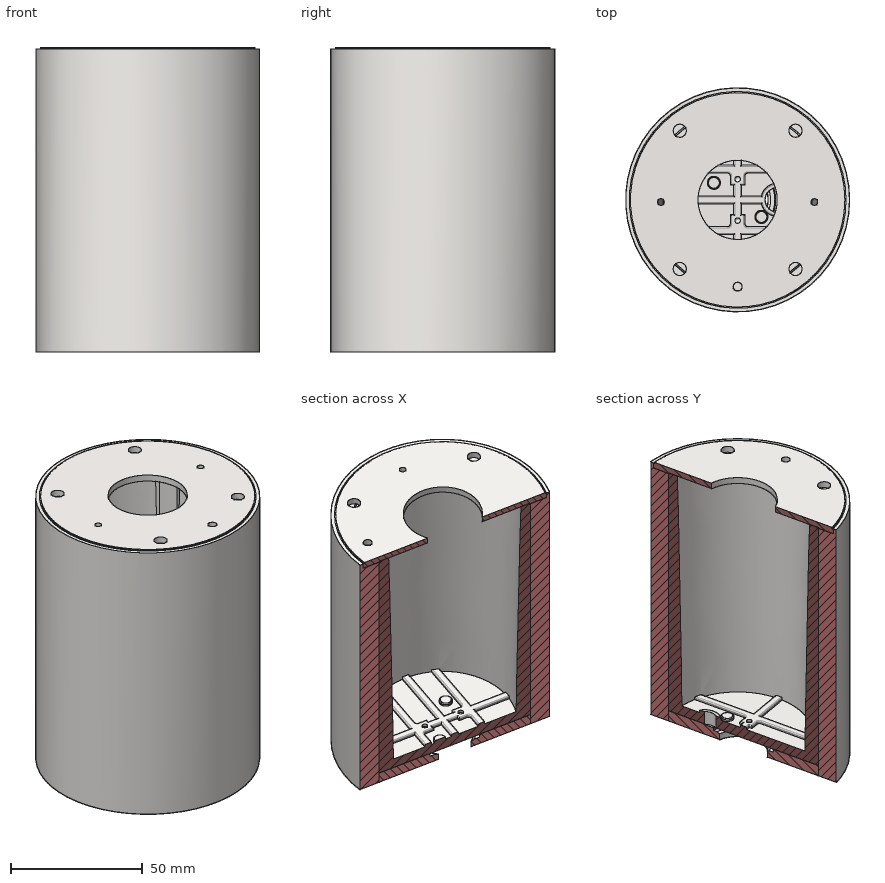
import cadquery as cq
import math

TOTAL_HEIGHT = 115.5
HOUSING_DIAMETER = 85.0

LID_THICKNESS = 2.7
LID_PROUD_HEIGHT = 0.5
LID_SEAT_DIAMETER = 82.2
LID_TOP_DIAMETER = 81.3
LID_WINDOW_DIAMETER = 30.0
SCREW_HOLE_DIAMETER = 5.0
SCREW_HOLE_X = 22.0
SCREW_HOLE_Y = 26.2
SIDE_HOLE_DIAMETER = 2.5
SIDE_HOLE_X = 29.1
SIDE_HOLE_Y = -0.8
INDEX_HOLE_DIAMETER = 3.3
INDEX_HOLE_Y = -32.9
INDEX_SOCKET_DEPTH = 5.8

RIM_Z = TOTAL_HEIGHT - LID_PROUD_HEIGHT
SEAT_Z = TOTAL_HEIGHT - LID_THICKNESS
BASE_THICKNESS = 4.6
CUP_FLOOR_THICKNESS = 4.6
FLOOR_Z = BASE_THICKNESS + CUP_FLOOR_THICKNESS

CUP_DIAMETER = 68.6
CUP_CHAMFER = 0.6
CAVITY_FLOOR_DIAMETER = 56.5
CAVITY_TOP_DIAMETER = 60.5
PAD_DIAMETER = 57.5
PAD_CREST_START = 19.3
PAD_CREST_END = 33.0
PAD_FOOT_START = 18.0
PAD_FOOT_END = 36.5

RIB_WIDTH = 3.0
RIB_HEIGHT = 1.2
RIB_LENGTH = CAVITY_TOP_DIAMETER
RIB_EDGE_RADIUS = 0.5
RIB_END_DIAMETER = CAVITY_FLOOR_DIAMETER + 1.2
CROSS_RIB_Y = 11.7
BLOCK_WIDTH = 5.5
BLOCK_INNER_Y = 5.5
BLOCK_JUNCTION_RADIUS = 1.2
PILOT_DIAMETER = 2.1
PILOT_Y = 7.9
DRILL_POINT_ANGLE = 118.0
CABLE_X = 15.1
CABLE_HOLE_DIAMETER = 9.4
CABLE_BOSS_DIAMETER = 12.6
STUD_DIAMETER = 5.0
STUD_CREST_DIAMETER = 4.2
STUD_X = 9.0
STUD_Y = 6.5

BASE_HOLE_DIAMETER = 23.0
BASE_COUNTERSINK_DIAMETER = 25.0
BASE_RECESS_DIAMETER = 28.2
BASE_RECESS_DEPTH = 1.2
BASE_COUNTERSINK_DEPTH = 0.7
RECESS_CHAMFER = 0.3


def disc(diameter, bottom, top, x=0.0, y=0.0):
    """Vertical cylinder between two heights."""
    return cq.Workplane("XY", origin=(x, y, bottom)).circle(diameter / 2).extrude(top - bottom)


def cone(bottom_diameter, top_diameter, bottom, top, x=0.0, y=0.0):
    """Vertical truncated cone between two heights."""
    solid = cq.Solid.makeCone(bottom_diameter / 2, top_diameter / 2, top - bottom, cq.Vector(x, y, bottom))
    return cq.Workplane(solid)


def polar(radius, degrees):
    """Point in the XY plane at a distance and direction from the axis."""
    angle = math.radians(degrees)
    return (radius * math.cos(angle), radius * math.sin(angle))


def make_index_socket():
    """Space of the index hole below the lid, across the seam of cup and housing."""
    return disc(INDEX_HOLE_DIAMETER, SEAT_Z - INDEX_SOCKET_DEPTH, SEAT_Z, 0, INDEX_HOLE_Y)


def make_housing():
    """Sleeve with a through bore and a shallow seat for the lid."""
    sleeve = disc(HOUSING_DIAMETER, 0, RIM_Z)
    bore = disc(CUP_DIAMETER, 0, RIM_Z)
    seat = disc(LID_SEAT_DIAMETER, SEAT_Z, RIM_Z)
    return sleeve.cut(bore).cut(seat).cut(make_index_socket())


def make_lid():
    """Stepped disc standing slightly proud of the housing rim, with its window and holes."""
    lid = disc(LID_SEAT_DIAMETER, SEAT_Z, RIM_Z).union(disc(LID_TOP_DIAMETER, RIM_Z, TOTAL_HEIGHT))
    holes = [(LID_WINDOW_DIAMETER, 0, 0), (INDEX_HOLE_DIAMETER, 0, INDEX_HOLE_Y)]
    for side in (-1, 1):
        holes.append((SIDE_HOLE_DIAMETER, side * SIDE_HOLE_X, SIDE_HOLE_Y))
        for end in (-1, 1):
            holes.append((SCREW_HOLE_DIAMETER, side * SCREW_HOLE_X, end * SCREW_HOLE_Y))
    for diameter, x, y in holes:
        lid = lid.cut(disc(diameter, SEAT_Z, TOTAL_HEIGHT, x, y))
    return lid


def make_wall_pad():
    """Shallow upright pad with sloping flanks on the cavity wall."""
    crest_radius = PAD_DIAMETER / 2
    foot_radius = CAVITY_TOP_DIAMETER / 2
    crest_middle = (PAD_CREST_START + PAD_CREST_END) / 2
    foot_middle = (PAD_FOOT_START + PAD_FOOT_END) / 2
    return (
        cq.Workplane("XY", origin=(0, 0, FLOOR_Z))
        .moveTo(*polar(crest_radius, PAD_CREST_START))
        .threePointArc(polar(crest_radius, crest_middle), polar(crest_radius, PAD_CREST_END))
        .lineTo(*polar(foot_radius, PAD_FOOT_END))
        .threePointArc(polar(foot_radius, foot_middle), polar(foot_radius, PAD_FOOT_START))
        .close()
        .extrude(SEAT_Z - FLOOR_Z)
    )


def make_floor_ribs():
    """Rib grid with a widened block around each pilot hole, and the boss of the cable hole."""
    plane = cq.Workplane("XY", origin=(0, 0, FLOOR_Z))
    ribs = plane.rect(RIB_WIDTH, RIB_LENGTH).extrude(RIB_HEIGHT)
    for y in (-CROSS_RIB_Y, 0, CROSS_RIB_Y):
        ribs = ribs.union(plane.center(0, y).rect(RIB_LENGTH, RIB_WIDTH).extrude(RIB_HEIGHT))
    block_length = CROSS_RIB_Y - BLOCK_INNER_Y
    for side in (-1, 1):
        block_plane = plane.center(0, side * (BLOCK_INNER_Y + block_length / 2))
        block = block_plane.rect(BLOCK_WIDTH, block_length).extrude(RIB_HEIGHT)
        ribs = ribs.union(block)
    junction_y = CROSS_RIB_Y - RIB_WIDTH / 2
    for side in (-1, 1):
        for end in (-1, 1):
            corner = (side * BLOCK_WIDTH / 2, end * junction_y, FLOOR_Z + RIB_HEIGHT / 2)
            junction = cq.selectors.NearestToPointSelector(corner)
            ribs = ribs.edges(junction).fillet(BLOCK_JUNCTION_RADIUS)
    ribs = ribs.union(disc(CABLE_BOSS_DIAMETER, FLOOR_Z, FLOOR_Z + RIB_HEIGHT, CABLE_X))
    ribs = ribs.faces(">Z").edges().fillet(RIB_EDGE_RADIUS)
    return ribs.intersect(disc(RIB_END_DIAMETER, FLOOR_Z, FLOOR_Z + RIB_HEIGHT))


def make_stud(x, y):
    """Short round stud with a chamfered crest."""
    crest_z = FLOOR_Z + RIB_HEIGHT
    chamfer_z = crest_z - (STUD_DIAMETER - STUD_CREST_DIAMETER) / 2
    shank = disc(STUD_DIAMETER, FLOOR_Z, chamfer_z, x, y)
    return shank.union(cone(STUD_DIAMETER, STUD_CREST_DIAMETER, chamfer_z, crest_z, x, y))


def make_cup():
    """Tapered cup with a ribbed floor, a wall pad, studs, pilot holes and a cable hole."""
    cup = disc(CUP_DIAMETER, BASE_THICKNESS, SEAT_Z).faces(">Z").edges().chamfer(CUP_CHAMFER)
    cup = cup.cut(cone(CAVITY_FLOOR_DIAMETER, CAVITY_TOP_DIAMETER, FLOOR_Z, SEAT_Z))
    cup = cup.union(make_wall_pad()).union(make_floor_ribs())
    for side in (-1, 1):
        cup = cup.union(make_stud(-side * STUD_X, side * STUD_Y))
        tip_depth = PILOT_DIAMETER / 2 / math.tan(math.radians(DRILL_POINT_ANGLE / 2))
        tip = cone(0, PILOT_DIAMETER, FLOOR_Z - tip_depth, FLOOR_Z, 0, side * PILOT_Y)
        pilot = disc(PILOT_DIAMETER, FLOOR_Z, FLOOR_Z + RIB_HEIGHT, 0, side * PILOT_Y)
        cup = cup.cut(pilot).cut(tip)
    cup = cup.cut(make_index_socket())
    return cup.cut(disc(CABLE_HOLE_DIAMETER, BASE_THICKNESS, FLOOR_Z + RIB_HEIGHT, CABLE_X))


def make_base():
    """Ring with a countersunk hole at the bottom of a chamfered round recess."""
    recess_floor = BASE_THICKNESS - BASE_RECESS_DEPTH
    countersink_floor = recess_floor - BASE_COUNTERSINK_DEPTH
    chamfer_floor = BASE_THICKNESS - RECESS_CHAMFER
    recess_mouth = BASE_RECESS_DIAMETER + 2 * RECESS_CHAMFER
    base = disc(CUP_DIAMETER, 0, BASE_THICKNESS)
    base = base.cut(disc(BASE_HOLE_DIAMETER, 0, BASE_THICKNESS))
    base = base.cut(cone(BASE_HOLE_DIAMETER, BASE_COUNTERSINK_DIAMETER, countersink_floor, recess_floor))
    base = base.cut(disc(BASE_RECESS_DIAMETER, recess_floor, BASE_THICKNESS))
    return base.cut(cone(BASE_RECESS_DIAMETER, recess_mouth, chamfer_floor, BASE_THICKNESS))


housing = make_housing()
lid = make_lid()
cup = make_cup()
base = make_base()

bodies = [housing, lid, cup, base]
result = cq.Compound.makeCompound([body.solids().val() for body in bodies])